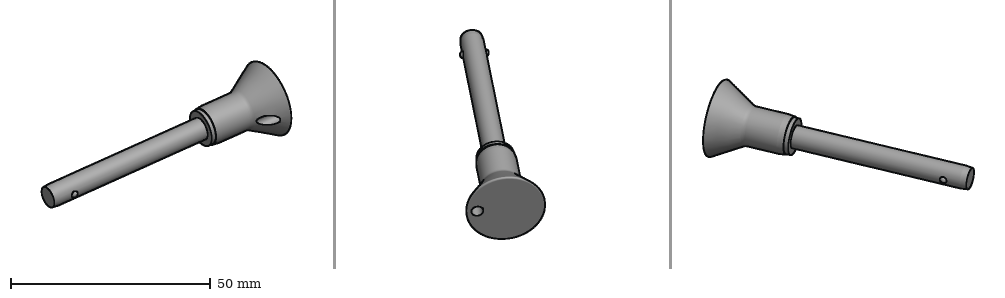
import cadquery as cq
import math

total_length = 68.0

knob_radius = 10.0
rim_round = 0.4
flare_angle = math.radians(30)
hub_radius = 5.2
neck_fillet = 2.25

hole_diameter = 3.0
hole_offset = 7.2

taper_start = 18.1
taper_end = 19.8
taper_end_radius = 4.95
collar_radius = 4.75
collar_end = 21.0

shank_radius = 3.0
tip_length = 1.7
tip_radius = 2.8

ball_radius = 0.95
ball_reach = 3.7
ball_depth = 61.9

back_y = total_length / 2
tip_y = -total_length / 2


def make_body():
    """Revolve the full pin profile about the Y axis."""
    round_drop = rim_round * (1 - math.cos(flare_angle))
    round_span = rim_round * math.sin(flare_angle)
    flare_start_radius = knob_radius - round_drop
    flare_start = rim_round + round_span

    flare_end_radius = hub_radius + neck_fillet * (1 - math.cos(flare_angle))
    flare_end = flare_start + (flare_start_radius - flare_end_radius) / math.tan(flare_angle)
    neck_end = flare_end + neck_fillet * math.sin(flare_angle)

    half_angle = flare_angle / 2
    rim_outermost = (knob_radius, back_y - rim_round)
    neck_mid = (
        hub_radius + neck_fillet * (1 - math.cos(half_angle)),
        back_y - neck_end + neck_fillet * math.sin(half_angle),
    )

    profile = (
        cq.Workplane("XY")
        .moveTo(0, back_y)
        .lineTo(knob_radius - rim_round, back_y)
        .threePointArc(rim_outermost, (flare_start_radius, back_y - flare_start))
        .lineTo(flare_end_radius, back_y - flare_end)
        .threePointArc(neck_mid, (hub_radius, back_y - neck_end))
        .lineTo(hub_radius, back_y - taper_start)
        .lineTo(taper_end_radius, back_y - taper_end)
        .lineTo(collar_radius, back_y - taper_end)
        .lineTo(collar_radius, back_y - collar_end)
        .lineTo(shank_radius, back_y - collar_end)
        .lineTo(shank_radius, tip_y + tip_length)
        .lineTo(tip_radius, tip_y)
        .lineTo(0, tip_y)
        .close()
    )
    return profile.revolve(360, (0, 0, 0), (0, 1, 0))


def make_ball(side):
    """Locking ball on the +X (side = 1) or -X (side = -1) side."""
    center_x = side * (ball_reach - ball_radius)
    return cq.Workplane("XY").sphere(ball_radius).translate((center_x, back_y - ball_depth, 0))


def make_lanyard_hole():
    """Cutter parallel to the pin axis, passing through the flare."""
    return (
        cq.Workplane("XZ", origin=(hole_offset, back_y, 0))
        .circle(hole_diameter / 2)
        .extrude(taper_start)
    )


result = make_body().cut(make_lanyard_hole())
for side in (-1, 1):
    result = result.union(make_ball(side))